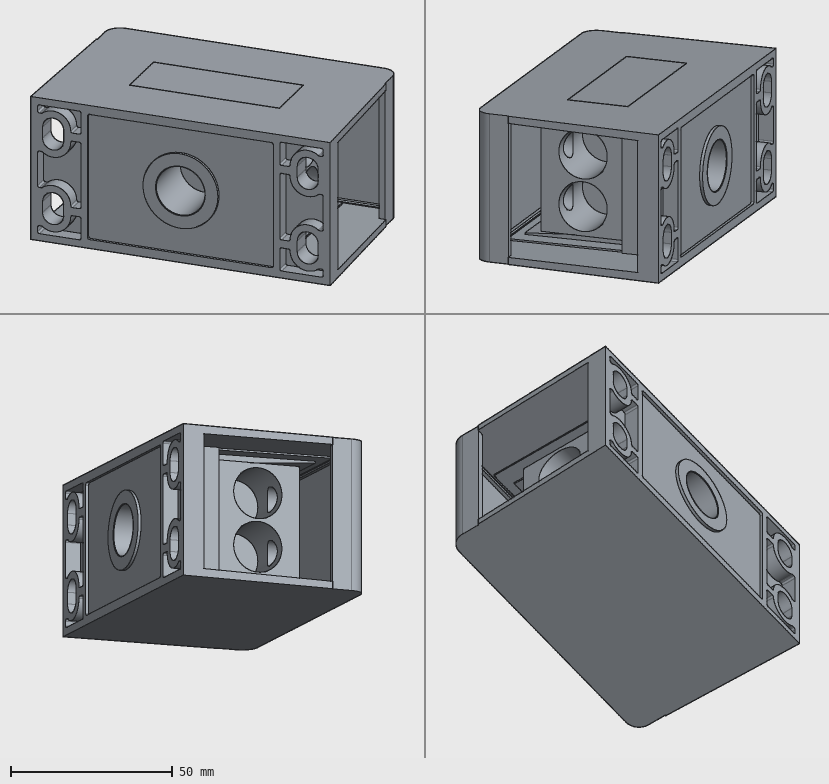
import cadquery as cq
import math

WIDTH = 100.0
DEPTH = 62.0
HEIGHT = 48.0
FRONT_Y = -DEPTH / 2
REAR_Y = DEPTH / 2

COVER_FRONT_Y = 19.7
COVER_HALF_WIDTH = 48.0
COVER_WALL = 2.0
COVER_RADIUS = 5.0
BODY_REAR_HALF_WIDTH = 48.3

FRONT_WALL = 7.0
FRONT_WALL_DRAFT = 0.5
CAVITY_FRONT_Y = FRONT_Y + FRONT_WALL
CAVITY_REAR_Y = REAR_Y - COVER_WALL
CAVITY_REAR_HALF_HEIGHT = 21.75
CAVITY_FRONT_HALF_HEIGHT = 21.35

CORE_HALF_WIDTH = 32.0
CORE_REAR_Y = -11.8

PAD_HALF_WIDTH = 31.0
PAD_FRONT_HALF_HEIGHT = 20.85
PAD_REAR_HALF_HEIGHT = 21.2
PAD_REAR_Y = 26.6
LEDGE_DEPTH = 1.6
LEDGE_HALF_HEIGHT = 21.0
LEDGE_CHAMFER = 0.4

ARM_HALF_WIDTH = 25.0
ARM_REAR_Y = 23.2
ARM_TAPER_ANGLE = 4.3

BLOCK_HALF_WIDTH = 29.8
BLOCK_HALF_HEIGHT = 18.0
BLOCK_REAR_Y = 16.0
WIRE_BORE_DIAMETER = 16.1
WIRE_BORE_DEPTH = 20.0
WIRE_BORE_Y = 2.0
WIRE_BORE_Z = 8.5
SCREW_HOLE_DIAMETER = 8.0
SCREW_HOLE_X = 22.0

PANEL_WIDTH = 62.0
PANEL_HEIGHT = 42.0
PANEL_DEPTH = 1.0
PANEL_RADIUS = 0.7
RING_DIAMETER = 25.0
BORE_DIAMETER = 16.2
BORE_CHAMFER = 0.2
BORE_DEPTH = 20.0
PILOT_DIAMETER = 6.6
PILOT_DEPTH = 10.0

SLOT_X = 42.5
SLOT_Z = 12.5
SLOT_WIDTH = 7.0
SLOT_LENGTH = 10.7
SLOT_WALL = 2.4
POCKET_INNER_X = 33.2
POCKET_OUTER_X = 47.65
POCKET_HALF_HEIGHT = 21.6
POCKET_DEPTH = 5.0
POCKET_RADIUS = 0.6
SIDE_WEB_HEIGHT = 12.8
RIB_THICKNESS = 2.7

LABEL_WIDTH = 50.0
LABEL_LENGTH = 20.0
LABEL_Y = -1.0
LABEL_DEPTH = 0.1


def box(x_range, y_range, z_range):
    """Box spanning the given coordinate ranges."""
    size = [end - start for start, end in (x_range, y_range, z_range)]
    corner = (x_range[0], y_range[0], z_range[0])
    return cq.Workplane("XY").box(*size, centered=False).translate(corner)


def centered_box(half_width, y_range, half_height):
    """Box symmetric about X = 0 and Z = 0."""
    return box((-half_width, half_width), y_range, (-half_height, half_height))


def front_plane(y=FRONT_Y):
    """Workplane facing -Y, so that a negative extrusion runs toward +Y."""
    return cq.Workplane("XZ", origin=(0, y, 0))


def x_prism(points, half_width):
    """Prism along X from (Y, Z) points, symmetric about X = 0."""
    return cq.Workplane("YZ").polyline(points).close().extrude(half_width, both=True)


def with_mirror(solid, plane):
    return solid.union(solid.mirror(plane))


def make_shell():
    """Tapered body and rear cover, hollowed between the front and back walls."""
    body = (
        cq.Workplane("XY", origin=(0, 0, -HEIGHT / 2))
        .moveTo(-WIDTH / 2, FRONT_Y)
        .lineTo(WIDTH / 2, FRONT_Y)
        .lineTo(BODY_REAR_HALF_WIDTH, COVER_FRONT_Y)
        .lineTo(-BODY_REAR_HALF_WIDTH, COVER_FRONT_Y)
        .close()
        .extrude(HEIGHT)
    )
    cover = centered_box(COVER_HALF_WIDTH, (CAVITY_FRONT_Y, REAR_Y), HEIGHT / 2)
    cover = cover.edges("|Z and >Y").fillet(COVER_RADIUS)

    cavity_profile = [
        (CAVITY_FRONT_Y, CAVITY_FRONT_HALF_HEIGHT),
        (CAVITY_REAR_Y, CAVITY_REAR_HALF_HEIGHT),
        (CAVITY_REAR_Y, -CAVITY_REAR_HALF_HEIGHT),
        (CAVITY_FRONT_Y, -CAVITY_FRONT_HALF_HEIGHT),
    ]
    side_span = centered_box(WIDTH / 2, (CAVITY_FRONT_Y, COVER_FRONT_Y), HEIGHT / 2)
    cover_span = centered_box(
        COVER_HALF_WIDTH - COVER_WALL, (CAVITY_FRONT_Y, CAVITY_REAR_Y), HEIGHT / 2
    )
    cover_span = cover_span.edges("|Z and >Y").fillet(COVER_RADIUS - COVER_WALL)
    cavity = x_prism(cavity_profile, WIDTH / 2).intersect(side_span.union(cover_span))
    return body.union(cover).cut(cavity)


def make_core():
    """Core behind the panel, widening at its front into slightly drafted inner faces of the front wall."""
    return (
        cq.Workplane("XY", origin=(0, 0, -CAVITY_REAR_HALF_HEIGHT))
        .moveTo(-CORE_HALF_WIDTH, CORE_REAR_Y)
        .lineTo(CORE_HALF_WIDTH, CORE_REAR_Y)
        .lineTo(CORE_HALF_WIDTH, CAVITY_FRONT_Y + FRONT_WALL_DRAFT)
        .lineTo(BODY_REAR_HALF_WIDTH, CAVITY_FRONT_Y)
        .lineTo(-BODY_REAR_HALF_WIDTH, CAVITY_FRONT_Y)
        .lineTo(-CORE_HALF_WIDTH, CAVITY_FRONT_Y + FRONT_WALL_DRAFT)
        .close()
        .extrude(2 * CAVITY_REAR_HALF_HEIGHT)
    )


def make_floor_details():
    """Drafted pad, rear ledge and tapered arm, repeated on floor and ceiling."""
    outside_z = -(CAVITY_REAR_HALF_HEIGHT + HEIGHT / 2) / 2
    pad = x_prism(
        [
            (CORE_REAR_Y, outside_z),
            (CORE_REAR_Y, -PAD_FRONT_HALF_HEIGHT),
            (PAD_REAR_Y, -PAD_REAR_HALF_HEIGHT),
            (PAD_REAR_Y, outside_z),
        ],
        PAD_HALF_WIDTH,
    )
    arm_drop = (ARM_REAR_Y - CORE_REAR_Y) * math.tan(math.radians(ARM_TAPER_ANGLE))
    arm = x_prism(
        [
            (CORE_REAR_Y, outside_z),
            (CORE_REAR_Y, -BLOCK_HALF_HEIGHT),
            (ARM_REAR_Y, -BLOCK_HALF_HEIGHT - arm_drop),
            (ARM_REAR_Y, outside_z),
        ],
        ARM_HALF_WIDTH,
    )
    ledge_half_width = COVER_HALF_WIDTH - COVER_RADIUS
    ledge = box(
        (-ledge_half_width, ledge_half_width),
        (CAVITY_REAR_Y - LEDGE_DEPTH, CAVITY_REAR_Y),
        (outside_z, -LEDGE_HALF_HEIGHT),
    )
    ledge = ledge.edges("<Y and >Z").chamfer(LEDGE_CHAMFER)
    return with_mirror(pad.union(arm).union(ledge), "XY")


def make_terminal_block():
    """Block with two blind wire bores per side, each reached by a rear screw hole."""
    block = centered_box(BLOCK_HALF_WIDTH, (CORE_REAR_Y, BLOCK_REAR_Y), BLOCK_HALF_HEIGHT)
    for z in (-WIRE_BORE_Z, WIRE_BORE_Z):
        wire_bore = (
            cq.Workplane("YZ", origin=(-BLOCK_HALF_WIDTH, WIRE_BORE_Y, z))
            .circle(WIRE_BORE_DIAMETER / 2)
            .extrude(WIRE_BORE_DEPTH)
        )
        screw_hole = (
            front_plane(BLOCK_REAR_Y)
            .center(-SCREW_HOLE_X, z)
            .circle(SCREW_HOLE_DIAMETER / 2)
            .extrude(BLOCK_REAR_Y - WIRE_BORE_Y)
        )
        block = block.cut(with_mirror(wire_bore.union(screw_hole), "YZ"))
    return block


def make_panel_recess():
    """Shallow front recess that leaves a flush ring around the bore."""
    recess = front_plane().rect(PANEL_WIDTH, PANEL_HEIGHT).extrude(-PANEL_DEPTH)
    recess = recess.edges("|Y").fillet(PANEL_RADIUS)
    ring = front_plane().circle(RING_DIAMETER / 2).extrude(-PANEL_DEPTH)
    return recess.cut(ring)


def make_stepped_bore():
    """Central front bore with a chamfered mouth and a blind pilot hole."""
    radius = BORE_DIAMETER / 2
    bore = front_plane().circle(radius).extrude(-BORE_DEPTH)
    mouth = cq.Workplane(
        cq.Solid.makeCone(
            radius + BORE_CHAMFER, radius, BORE_CHAMFER, cq.Vector(0, FRONT_Y, 0), cq.Vector(0, 1, 0)
        )
    )
    pilot = front_plane().circle(PILOT_DIAMETER / 2).extrude(-(BORE_DEPTH + PILOT_DEPTH))
    return bore.union(mouth).union(pilot)


def upright_slot(z, width, length, depth):
    """Slot-shaped prism running from the front face toward +Y at the left slot position."""
    return front_plane().center(-SLOT_X, z).slot2D(length, width, 90).extrude(-depth)


def make_mounting_cuts():
    """Through slots and blind pockets at both ends of the front face."""
    pocket_y = (FRONT_Y, FRONT_Y + POCKET_DEPTH)
    pockets = box(
        (-POCKET_OUTER_X, -POCKET_INNER_X), pocket_y, (-POCKET_HALF_HEIGHT, POCKET_HALF_HEIGHT)
    )
    slots = cq.Workplane("XY")
    for z in (-SLOT_Z, SLOT_Z):
        boss = upright_slot(z, SLOT_WIDTH + 2 * SLOT_WALL, SLOT_LENGTH + 2 * SLOT_WALL, POCKET_DEPTH)
        side_web = box(
            (-POCKET_OUTER_X, -SLOT_X), pocket_y, (z - SIDE_WEB_HEIGHT / 2, z + SIDE_WEB_HEIGHT / 2)
        )
        rib = box(
            (-SLOT_X, -POCKET_INNER_X), pocket_y, (z - RIB_THICKNESS / 2, z + RIB_THICKNESS / 2)
        )
        pockets = pockets.cut(boss.union(side_web).union(rib))
        slots = slots.union(upright_slot(z, SLOT_WIDTH, SLOT_LENGTH, FRONT_WALL + FRONT_WALL_DRAFT))
    pockets = pockets.edges("|Y").fillet(POCKET_RADIUS)
    return with_mirror(pockets.union(slots), "YZ")


def make_label_recess():
    label_top = HEIGHT / 2
    return box(
        (-LABEL_WIDTH / 2, LABEL_WIDTH / 2),
        (LABEL_Y - LABEL_LENGTH / 2, LABEL_Y + LABEL_LENGTH / 2),
        (label_top - LABEL_DEPTH, label_top),
    )


result = make_shell().union(make_core()).union(make_floor_details()).union(make_terminal_block())
result = result.cut(make_panel_recess()).cut(make_stepped_bore())
result = result.cut(make_mounting_cuts()).cut(make_label_recess())